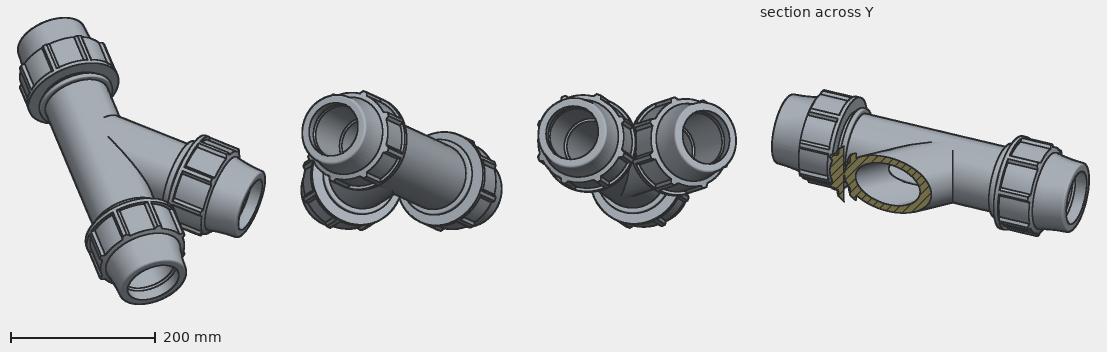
import cadquery as cq

run_length = 435.0
branch_root_x = -33.0
branch_angle = 45.0
branch_length = 239.5

tube_radius = 46.0
bore_radius = 67.5 / 2
socket_radius = 75.0 / 2
flange_radius = 132.0 / 2
collar_radius = 105.5 / 2
nut_radius = 61.5
mouth_radius = 49.0
cone_root_radius = 54.5
cone_middle_radius = 50.5

nut_start = 43.5
nut_bevel_length = 4.0
flange_start = 90.5
flange_end = 96.5
collar_start = 102.5
collar_width = 7.0

socket_flare_radius = 39.0
socket_flare_sag = 0.5
socket_flare_end = 17.5
socket_seat_start = 21.0
socket_depth = flange_end

mouth_fillet = 3.0
collar_fillet = 1.7

rib_count = 8
rib_base_width = 11.5
rib_top_width = 5.5
rib_root_radius = 58.7
rib_tip_radius = 67.0


def cylinder_along_x(radius, start, length):
    return cq.Workplane("YZ").workplane(offset=start).circle(radius).extrude(length)


def flared_mouth():
    """Pipe-entry sleeve, its outside sweeping outwards in a hollow arc up to the nut."""
    profile = (
        cq.Workplane("XY")
        .lineTo(0, mouth_radius)
        .threePointArc((nut_start / 2, cone_middle_radius), (nut_start, cone_root_radius))
        .lineTo(nut_start, 0)
        .close()
    )
    sleeve = profile.revolve(360, (0, 0, 0), (1, 0, 0))
    return sleeve.faces("<X").edges().fillet(mouth_fillet)


def bevelled_envelope():
    """Space filled by the ribbed nut: flange diameter with a bevelled front."""
    return (
        cq.Workplane("XY")
        .moveTo(nut_start, 0)
        .lineTo(nut_start, cone_root_radius)
        .lineTo(nut_start + nut_bevel_length, flange_radius)
        .lineTo(flange_end, flange_radius)
        .lineTo(flange_end, 0)
        .close()
        .revolve(360, (0, 0, 0), (1, 0, 0))
    )


def grip_rib(angle):
    """One rib of trapezoid section, standing on the nut at the given angle about X."""
    taper = (rib_base_width - rib_top_width) / 2 / (flange_radius - nut_radius)
    root_half_width = rib_base_width / 2 + taper * (nut_radius - rib_root_radius)
    tip_half_width = rib_top_width / 2 - taper * (rib_tip_radius - flange_radius)
    return (
        cq.Workplane("YZ")
        .workplane(offset=nut_start)
        .polyline([
            (rib_root_radius, -root_half_width),
            (rib_tip_radius, -tip_half_width),
            (rib_tip_radius, tip_half_width),
            (rib_root_radius, root_half_width),
        ])
        .close()
        .extrude(flange_end - nut_start)
        .rotate((0, 0, 0), (1, 0, 0), angle)
    )


def ribbed_nut():
    """Nut with its end flange and ribs, trimmed to the bevelled envelope."""
    nut = cylinder_along_x(nut_radius, nut_start, flange_end - nut_start)
    nut = nut.union(cylinder_along_x(flange_radius, flange_start, flange_end - flange_start))
    rib_pitch = 360 / rib_count
    for i in range(rib_count):
        nut = nut.union(grip_rib((i + 0.5) * rib_pitch))
    return nut.intersect(bevelled_envelope())


def collar():
    """Rounded ring around the tube just behind the nut."""
    ring = cylinder_along_x(collar_radius, collar_start, collar_width)
    return ring.edges().fillet(collar_fillet)


def arm_outside(length):
    """Solid arm along +X with its mouth at the origin and its tube reaching x = length."""
    tube = cylinder_along_x(tube_radius, nut_start, length - nut_start)
    return tube.union(flared_mouth()).union(ribbed_nut()).union(collar())


def pipe_socket():
    """Space for the pipe: a flare behind the mouth, then a plain seat down to the stop."""
    flare_middle_radius = (socket_radius + socket_flare_radius) / 2 - socket_flare_sag
    return (
        cq.Workplane("XY")
        .lineTo(0, socket_radius)
        .threePointArc((socket_flare_end / 2, flare_middle_radius), (socket_flare_end, socket_flare_radius))
        .lineTo(socket_seat_start, socket_radius)
        .lineTo(socket_depth, socket_radius)
        .lineTo(socket_depth, 0)
        .close()
        .revolve(360, (0, 0, 0), (1, 0, 0))
    )


def arm_bore(length):
    """Stepped hole of an arm: pipe socket down to its stop, then the plain bore."""
    return cylinder_along_x(bore_radius, 0, length).union(pipe_socket())


def place_arm(arm, direction, length):
    """Turn an arm so that its mouth points along the direction, its inner end on the branch root."""
    return (
        arm.translate((-length, 0, 0))
        .rotate((0, 0, 0), (0, 0, 1), direction + 180)
        .translate((branch_root_x, 0, 0))
    )


arms = [
    (180.0, run_length / 2 + branch_root_x),
    (0.0, run_length / 2 - branch_root_x),
    (branch_angle, branch_length),
]

body = None
for direction, length in arms:
    arm = place_arm(arm_outside(length), direction, length)
    body = arm if body is None else body.union(arm)

for direction, length in arms:
    body = body.cut(place_arm(arm_bore(length), direction, length))

result = body